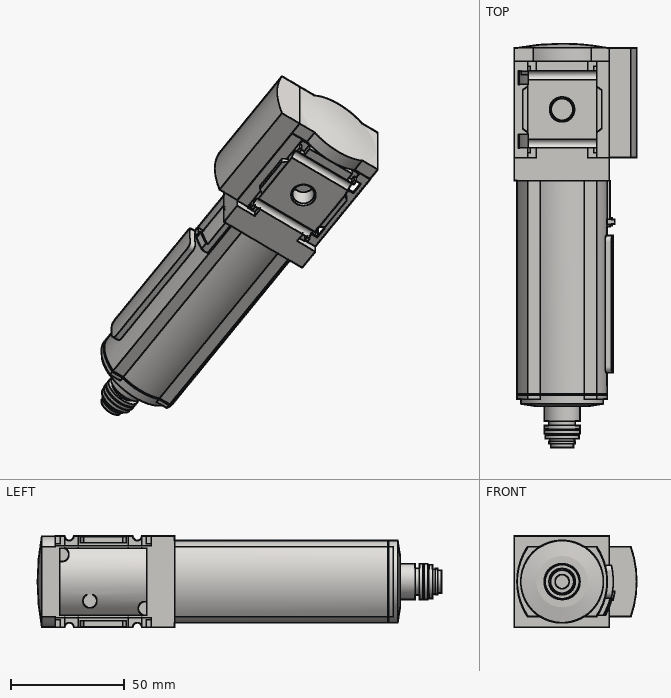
import cadquery as cq
import math


HEAD_LEFT_X = -21.1
HEAD_RIGHT_X = 20.8
HEAD_HALF_Z = 20.1
PLATE_HALF_Z = 15.4
WALL_HALF_Z = 15.85
MIDDLE_HALF_Y = 21.2
PLATE_END_Y = 27.1
COLLAR_END_Y = -31.4
CAP_DISC_RADIUS = 20.0
DOME_RISE = 1.91

BLOCK_HALF_X = 15.2
PORT_DIAMETER = 9.6
PORT_MOUTH_DIAMETER = 11.0
PORT_DEPTH = 10.0
GROOVE_Y = 15.0
GROOVE_RADIUS = 1.95
TAB_HALF_X = 17.4
TAB_HALF_Y_ROOT = 10.1
TAB_HALF_Y_TIP = 8.5
TAB_BOTTOM_Z = 17.2
TAB_TOP_Z = 19.8
POCKET_LENGTH_X = 3.8
POCKET_INNER_Y = 17.0
POCKET_FLOOR_Z = 16.7
POST_SIZE_X = 1.2
POST_OUTER_Y = 19.0

WINDOW_HALF_Y = 19.1
WINDOW_HALF_Z = 14.8
WINDOW_BACK_X = -10.0
CORE_RADIUS = 18.9
SLOT_OUTER_X = -19.1
SLOT_INNER_X = -15.0
SLOT_NEAR_Y = 11.0
SLOT_FAR_Y = 16.9
BOSS_DIAMETER = 6.1
BOSS_FACE_X = -18.0
BOSS_CENTRES_YZ = [(5.9, -8.5), (18.2, 11.9), (-18.5, -11.8)]

COVER_EDGE_X = 30.3
COVER_CROWN_X = 32.9

TUBE_RADIUS = 18.2
BOWL_HALF_X = 19.9
GUARD_HALF_Z = 15.4
GUARD_EDGE_X = 15.2
GUARD_END_Y = -127.6
SEAM_Y = -125.55
SEAM_WIDTH = 0.5
SEAM_DEPTH = 0.15
TUBE_END_Y = -129.7
CONE_END_Y = -130.8
CONE_END_RADIUS = 11.3

SIGHT_FRAME = dict(height=2.65, y_range=(-116.0, -55.5), z_range=(-7.3, 7.3))
SIGHT_FRAME_CORNER = 2.7
LATCH_SLIDE = dict(height=2.2, y_range=(-51.6, COLLAR_END_Y), z_range=(-14.8, -7.3))
LATCH_LIP = dict(height=3.0, y_range=(-51.3, -47.8), z_range=(-14.8, -7.3))
LATCH_RIB = dict(height=3.6, y_range=(-50.5, -48.4), z_range=(-8.1, -4.3))

CONNECTOR_STEPS = [
    (7.9, -137.3),
    (5.9, -139.2),
    (7.9, -140.8),
    (5.9, -141.3),
    (7.9, -142.9),
    (5.5, -143.4),
    (7.5, -145.1),
    (5.5, -146.2),
    (5.8, -147.2),
    (5.1, -149.0),
]
DRAIN_DIAMETER = 6.2
DRAIN_DEPTH = 18.0


def block(x_range, y_range, z_range):
    """Box between the given limits."""
    size = [high - low for low, high in (x_range, y_range, z_range)]
    return cq.Workplane("XY").box(*size, centered=False).translate((x_range[0], y_range[0], z_range[0]))


def rod(radius, y_from, y_to):
    """Cylinder on the bowl axis."""
    return cq.Workplane("XZ", origin=(0, y_to, 0)).circle(radius).extrude(y_to - y_from)


def arc_radius(half_chord, rise):
    """Radius of an arc from half its chord and its rise."""
    return (half_chord**2 + rise**2) / (2 * rise)


def end_cap():
    """End plate, round disc and shallow dome."""
    plate = block(
        (HEAD_LEFT_X, HEAD_RIGHT_X),
        (MIDDLE_HALF_Y, PLATE_END_Y),
        (-PLATE_HALF_Z, PLATE_HALF_Z),
    )
    disc = rod(CAP_DISC_RADIUS, MIDDLE_HALF_Y, PLATE_END_Y)
    dome_radius = arc_radius(CAP_DISC_RADIUS, DOME_RISE)
    mid_angle = math.asin(CAP_DISC_RADIUS / dome_radius) / 2
    dome_top_y = PLATE_END_Y + DOME_RISE
    mid_point = (
        dome_radius * math.sin(mid_angle),
        dome_top_y - dome_radius * (1 - math.cos(mid_angle)),
    )
    dome = (
        cq.Workplane("XY")
        .moveTo(0, MIDDLE_HALF_Y)
        .lineTo(CAP_DISC_RADIUS, MIDDLE_HALF_Y)
        .lineTo(CAP_DISC_RADIUS, PLATE_END_Y)
        .threePointArc(mid_point, (0, dome_top_y))
        .close()
        .revolve(360, (0, 0, 0), (0, 1, 0))
    )
    return plate.union(disc).union(dome)


def corner_pocket():
    """Pocket in the +X +Y corner of the upper port block, with its post."""
    pocket = block(
        (BLOCK_HALF_X - POCKET_LENGTH_X, BLOCK_HALF_X),
        (POCKET_INNER_Y, MIDDLE_HALF_Y),
        (POCKET_FLOOR_Z, HEAD_HALF_Z),
    )
    post = block(
        (BLOCK_HALF_X - POST_SIZE_X, BLOCK_HALF_X),
        (POCKET_INNER_Y, POST_OUTER_Y),
        (POCKET_FLOOR_Z, HEAD_HALF_Z),
    )
    return pocket.cut(post)


def port_block():
    """Raised block on the +Z side with grooves, corner pockets and side tabs."""
    raised = block(
        (-BLOCK_HALF_X, BLOCK_HALF_X),
        (-MIDDLE_HALF_Y, MIDDLE_HALF_Y),
        (0, HEAD_HALF_Z),
    )
    tabs = (
        cq.Workplane("XY", origin=(0, 0, TAB_BOTTOM_Z))
        .polyline([
            (-TAB_HALF_X, -TAB_HALF_Y_TIP),
            (-BLOCK_HALF_X, -TAB_HALF_Y_ROOT),
            (BLOCK_HALF_X, -TAB_HALF_Y_ROOT),
            (TAB_HALF_X, -TAB_HALF_Y_TIP),
            (TAB_HALF_X, TAB_HALF_Y_TIP),
            (BLOCK_HALF_X, TAB_HALF_Y_ROOT),
            (-BLOCK_HALF_X, TAB_HALF_Y_ROOT),
            (-TAB_HALF_X, TAB_HALF_Y_TIP),
        ])
        .close()
        .extrude(TAB_TOP_Z - TAB_BOTTOM_Z)
    )
    grooves = (
        cq.Workplane("YZ", origin=(-BLOCK_HALF_X, 0, 0))
        .pushPoints([(-GROOVE_Y, HEAD_HALF_Z), (GROOVE_Y, HEAD_HALF_Z)])
        .circle(GROOVE_RADIUS)
        .extrude(2 * BLOCK_HALF_X)
    )
    raised = raised.union(tabs).cut(grooves)
    pocket = corner_pocket()
    for corner in (pocket, pocket.mirror("YZ")):
        raised = raised.cut(corner).cut(corner.mirror("XZ"))
    return raised


def port_hole():
    """Blind port in the +Z face with a chamfered mouth."""
    bore = (
        cq.Workplane("XY", origin=(0, 0, HEAD_HALF_Z))
        .circle(PORT_DIAMETER / 2)
        .extrude(-PORT_DEPTH)
    )
    chamfer = (PORT_MOUTH_DIAMETER - PORT_DIAMETER) / 2
    mouth = (
        cq.Workplane("XY", origin=(0, 0, HEAD_HALF_Z))
        .circle(PORT_MOUTH_DIAMETER / 2)
        .workplane(offset=-chamfer)
        .circle(PORT_DIAMETER / 2)
        .loft()
    )
    return bore.union(mouth)


def window_cavity():
    """Space around the filter core behind the -X window, with its wall slots."""
    cavity = block(
        (HEAD_LEFT_X, WINDOW_BACK_X),
        (-WINDOW_HALF_Y, WINDOW_HALF_Y),
        (-WINDOW_HALF_Z, WINDOW_HALF_Z),
    )
    for y_range in ((-SLOT_FAR_Y, -SLOT_NEAR_Y), (SLOT_NEAR_Y, SLOT_FAR_Y)):
        slot = block((SLOT_OUTER_X, SLOT_INNER_X), y_range, (-HEAD_HALF_Z, HEAD_HALF_Z))
        cavity = cavity.union(slot)
    bosses = (
        cq.Workplane("YZ", origin=(BOSS_FACE_X, 0, 0))
        .pushPoints(BOSS_CENTRES_YZ)
        .circle(BOSS_DIAMETER / 2)
        .extrude(WINDOW_BACK_X - BOSS_FACE_X)
    )
    core = rod(CORE_RADIUS, -MIDDLE_HALF_Y, MIDDLE_HALF_Y)
    return cavity.cut(core).cut(bosses)


def head():
    """Square head with end cap, collar, ports and window."""
    middle = block(
        (HEAD_LEFT_X, HEAD_RIGHT_X),
        (-MIDDLE_HALF_Y, MIDDLE_HALF_Y),
        (-WALL_HALF_Z, WALL_HALF_Z),
    )
    collar = block(
        (HEAD_LEFT_X, HEAD_RIGHT_X),
        (COLLAR_END_Y, -MIDDLE_HALF_Y),
        (-HEAD_HALF_Z, HEAD_HALF_Z),
    )
    upper_block = port_block()
    upper_port = port_hole()
    shape = middle.union(collar).union(end_cap())
    shape = shape.union(upper_block).union(upper_block.mirror("XY"))
    shape = shape.cut(upper_port).cut(upper_port.mirror("XY"))
    return shape.cut(window_cavity())


def guard_section(y_from, y_to, step):
    """Guard with flat +Z and -Z faces and curved sides, inset by step."""
    crown_x = BOWL_HALF_X - step
    edge_x = GUARD_EDGE_X - step
    half_z = GUARD_HALF_Z - step
    return (
        cq.Workplane("XZ", origin=(0, y_to, 0))
        .moveTo(-edge_x, half_z)
        .lineTo(edge_x, half_z)
        .threePointArc((crown_x, 0), (edge_x, -half_z))
        .lineTo(-edge_x, -half_z)
        .threePointArc((-crown_x, 0), (-edge_x, half_z))
        .close()
        .extrude(y_to - y_from)
    )


def seam_groove():
    """Shallow groove that follows the guard and tube outline."""
    y_from = SEAM_Y - SEAM_WIDTH / 2
    y_to = SEAM_Y + SEAM_WIDTH / 2
    corner_radius = math.hypot(GUARD_EDGE_X, GUARD_HALF_Z)
    outside = rod(corner_radius + SEAM_DEPTH, y_from, y_to)
    left_inside = guard_section(y_from, y_to, SEAM_DEPTH).union(rod(TUBE_RADIUS - SEAM_DEPTH, y_from, y_to))
    return outside.cut(left_inside)


def side_pad(height, y_range, z_range, corner=0.0):
    """Pad that stands the given height above the curved +X guard side."""
    guard_radius = arc_radius(GUARD_HALF_Z, BOWL_HALF_X - GUARD_EDGE_X)
    centre_x = BOWL_HALF_X - guard_radius
    outer_x = BOWL_HALF_X + height
    pad = block((GUARD_EDGE_X - height, outer_x), y_range, z_range)
    if corner:
        pad = pad.edges("|X").fillet(corner)
    envelope = (
        cq.Workplane("XZ", origin=(centre_x, y_range[1], 0))
        .circle(guard_radius + height)
        .extrude(y_range[1] - y_range[0])
    )
    return pad.intersect(envelope)


def drain_connector():
    """Stepped hose connector below the bowl."""
    shape = cq.Workplane("XZ")
    y_start = CONE_END_Y
    for radius, y_end in CONNECTOR_STEPS:
        shape = shape.add(rod(radius, y_end, y_start))
        y_start = y_end
    return shape.combine()


def bowl():
    """Round tube with its guard, latch, sight frame and drain connector."""
    tube = rod(TUBE_RADIUS, TUBE_END_Y, COLLAR_END_Y)
    cone = (
        cq.Workplane("XZ", origin=(0, TUBE_END_Y, 0))
        .circle(TUBE_RADIUS)
        .workplane(offset=TUBE_END_Y - CONE_END_Y)
        .circle(CONE_END_RADIUS)
        .loft()
    )
    tip_y = CONNECTOR_STEPS[-1][1]
    drain = rod(DRAIN_DIAMETER / 2, tip_y, tip_y + DRAIN_DEPTH)
    shape = tube.union(cone).union(drain_connector())
    shape = shape.union(guard_section(GUARD_END_Y, COLLAR_END_Y, 0))
    shape = shape.cut(seam_groove())
    shape = shape.union(side_pad(**SIGHT_FRAME, corner=SIGHT_FRAME_CORNER))
    for pad in (LATCH_SLIDE, LATCH_LIP, LATCH_RIB):
        shape = shape.union(side_pad(**pad))
    return shape.cut(drain)


def filter_body():
    """Head, bowl and drain connector in one piece."""
    return head().union(bowl())


def side_cover():
    """Cover with a crowned outer face, seated flat on the +X side of the head."""
    return (
        cq.Workplane("XZ", origin=(0, PLATE_END_Y, 0))
        .moveTo(HEAD_RIGHT_X, -PLATE_HALF_Z)
        .lineTo(COVER_EDGE_X, -PLATE_HALF_Z)
        .threePointArc((COVER_CROWN_X, 0), (COVER_EDGE_X, PLATE_HALF_Z))
        .lineTo(HEAD_RIGHT_X, PLATE_HALF_Z)
        .close()
        .extrude(PLATE_END_Y + MIDDLE_HALF_Y)
    )


result = cq.Compound.makeCompound([filter_body().val(), side_cover().val()])